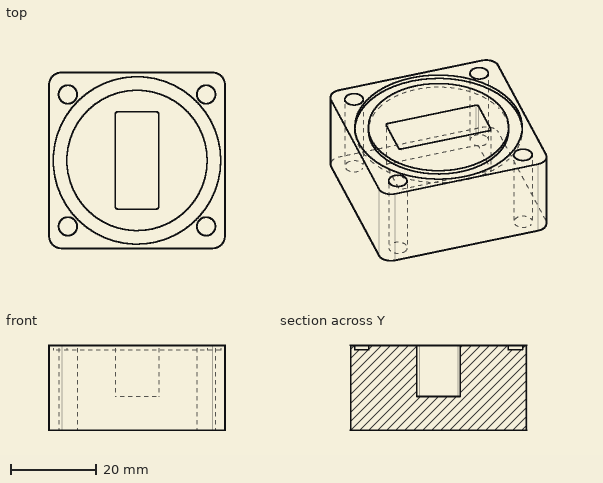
import cadquery as cq

side = 41.4
height = 20.0
corner_radius = 3.0

base_thickness = 8.0

hole_diameter = 4.3
hole_spacing_x = 32.5
hole_spacing_y = 31.0

groove_outer_diameter = 39.37
groove_inner_diameter = 33.0
groove_depth = 1.0

window_size_x = 10.15
window_size_y = 22.85
window_corner_radius = 0.5
window_depth = height - base_thickness


def rounded_block(size_x, size_y, thickness, radius):
    """Block standing on Z = 0 with rounded upright edges."""
    return cq.Workplane("XY").rect(size_x, size_y).extrude(thickness).edges("|Z").fillet(radius)


def mounting_holes():
    """Four cylinders running through the full height."""
    return (
        cq.Workplane("XY")
        .rect(hole_spacing_x, hole_spacing_y, forConstruction=True)
        .vertices()
        .circle(hole_diameter / 2)
        .extrude(height)
    )


def groove_ring():
    """Ring of material removed from the top face."""
    return (
        cq.Workplane("XY", origin=(0, 0, height - groove_depth))
        .circle(groove_outer_diameter / 2)
        .circle(groove_inner_diameter / 2)
        .extrude(groove_depth)
    )


def waveguide_window():
    """Rectangular pocket from the top face down to the base."""
    window = rounded_block(window_size_x, window_size_y, window_depth, window_corner_radius)
    return window.translate((0, 0, base_thickness))


body = rounded_block(side, side, height, corner_radius)
result = body.cut(mounting_holes()).cut(groove_ring()).cut(waveguide_window())